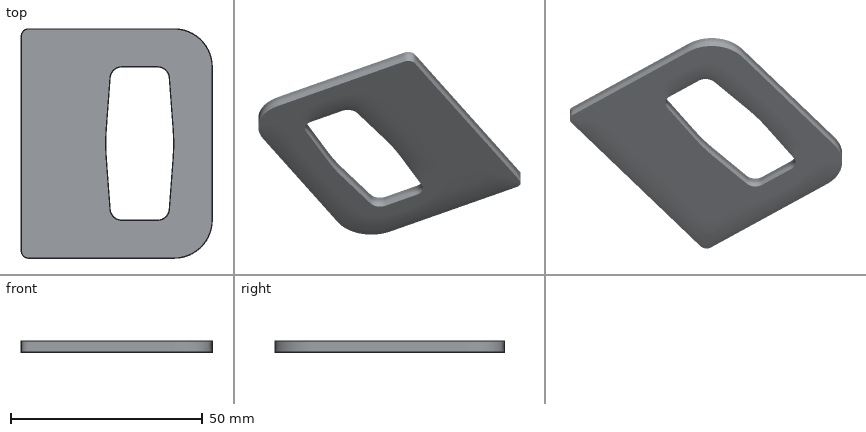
import cadquery as cq

plate_width = 50.0
plate_length = 60.0
thickness = 3.0
small_corner_radius = 2.0
large_corner_radius = 10.0

opening_center_x = 6.0
opening_length = 40.0
opening_mid_width = 18.0
opening_end_width = 15.0
opening_corner_radius = 3.0
opening_crown_radius = 50.0


def make_plate():
    """Flat plate with tight corners on the -X side and wide ones on +X."""
    plate = cq.Workplane("XY").box(plate_width, plate_length, thickness)
    plate = plate.edges("|Z and <X").fillet(small_corner_radius)
    return plate.edges("|Z and >X").fillet(large_corner_radius)


def make_opening():
    """Cutter for the six-sided opening, with rounded ends and soft side crowns."""
    half_length = opening_length / 2
    half_mid = opening_mid_width / 2
    half_end = opening_end_width / 2
    outline = [
        (-half_end, -half_length),
        (half_end, -half_length),
        (half_mid, 0),
        (half_end, half_length),
        (-half_end, half_length),
        (-half_mid, 0),
    ]
    cutter = cq.Workplane("XY").polyline(outline).close().extrude(thickness, both=True)
    cutter = cutter.edges("|Z and (>X or <X)").fillet(opening_crown_radius)
    cutter = cutter.edges("|Z and (>Y or <Y)").fillet(opening_corner_radius)
    return cutter.translate((opening_center_x, 0, 0))


result = make_plate().cut(make_opening())